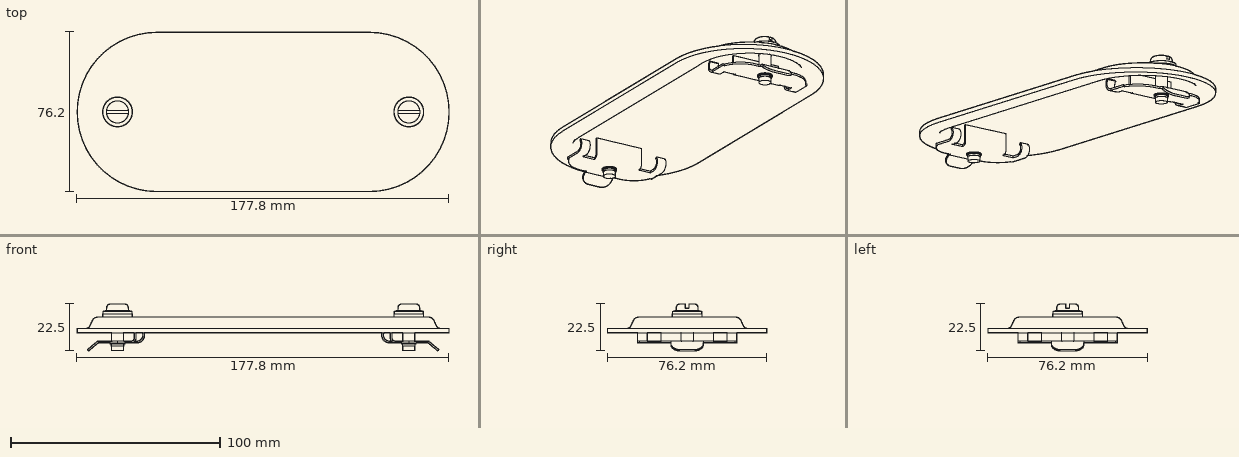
import cadquery as cq
import math


TOTAL_HEIGHT = 22.54

COVER_LENGTH = 177.8
COVER_WIDTH = 76.2
SHEET = 2.15
DOME_TOP = 7.6
DOME_FOOT_RADIUS = 28.7
DOME_END_X = 55.9
DOME_WALL_DRAFT = math.radians(25)
DOME_SHOULDER_RADIUS = 3.1
DOME_FOOT_FILLET = 1.9

SCREW_X = 69.6
SHANK_DIAMETER = 5.84
NECK_DIAMETER = 5.08
HEAD_DIAMETER = 10.57
HEAD_TOP = 13.84
HEAD_ROUNDING = 1.9
SLOT_WIDTH = 1.6
SLOT_DEPTH = 2.1
LIP_DIAMETER = 6.1
LIP_BOTTOM = -6.4
SCREW_BOTTOM = -8.5
GASKET_DIAMETER = 14.28
GASKET_THICKNESS = 1.4
WASHER_DIAMETER = 14.02
WASHER_RIM_THICKNESS = 1.2
WASHER_CROWN_HEIGHT = 0.55
WASHER_HOLE = 6.1
COVER_HOLE = 6.15

CLIP_SHEET = 0.9
CLIP_BOTTOM = -4.85
CLIP_LOWEST = HEAD_TOP - TOTAL_HEIGHT
CLIP_WIDTH = 47.6
CLIP_HOLE = 5.49
COLLAR_DIAMETER = 7.0
COLLAR_HEIGHT = 0.5
PLATE_OUTER_X = -8.2
PLATE_CORNER_RADIUS = 13.0
TONGUE_WIDTH = 15.5
TONGUE_BEND_X = -9.2
TONGUE_SLOPE = math.radians(40)
TONGUE_CORNER_RADIUS = 4.5
TAB_WIDTH = 25.2
TAB_FACE_X = 8.0
TAB_BEND_RADIUS = 1.5
LEG_WIDTH = 4.8
CURL_RADIUS = 3.75
CURL_CENTER_X = 9.25
CURL_SWEEP = math.radians(135)

CAVITY_TOP = DOME_TOP - SHEET
GASKET_TOP = DOME_TOP + GASKET_THICKNESS
WASHER_RIM_TOP = GASKET_TOP + WASHER_RIM_THICKNESS
WASHER_TOP = WASHER_RIM_TOP + WASHER_CROWN_HEIGHT
CLIP_TOP = CLIP_BOTTOM + CLIP_SHEET
COLLAR_BOTTOM = CLIP_BOTTOM - COLLAR_HEIGHT


def cylinder(diameter, bottom, top, x=0):
    return cq.Workplane("XY", origin=(x, 0, bottom)).circle(diameter / 2).extrude(top - bottom)


def dome_half_profile(inset):
    """Half section of the dome: foot fillet, sloping wall and rounded shoulder.

    `inset` moves the skin inward, parallel to the outer skin.
    """
    foot_radius = DOME_FOOT_FILLET + inset
    shoulder_radius = DOME_SHOULDER_RADIUS - inset
    foot_z = SHEET - inset
    top_z = DOME_TOP - inset
    turn = math.pi / 2 - DOME_WALL_DRAFT

    def foot_point(angle):
        return (
            DOME_FOOT_RADIUS - foot_radius * math.sin(angle),
            foot_z + foot_radius * (1 - math.cos(angle)),
        )

    wall_low_x, wall_low_z = foot_point(turn)
    wall_high_z = top_z - shoulder_radius * (1 - math.cos(turn))
    wall_run = (wall_high_z - wall_low_z) * math.tan(DOME_WALL_DRAFT)
    shoulder_x = wall_low_x - wall_run - shoulder_radius * math.sin(turn)

    def shoulder_point(angle):
        return (
            shoulder_x + shoulder_radius * math.sin(angle),
            top_z - shoulder_radius * (1 - math.cos(angle)),
        )

    return (
        cq.Workplane("YZ")
        .moveTo(0, foot_z)
        .lineTo(*foot_point(0))
        .threePointArc(foot_point(turn / 2), foot_point(turn))
        .lineTo(*shoulder_point(turn))
        .threePointArc(shoulder_point(turn / 2), shoulder_point(0))
        .lineTo(0, top_z)
        .close()
    )


def dome(inset):
    """Oblong dome: a straight stretch between two round ends."""
    half_middle = dome_half_profile(inset).extrude(DOME_END_X, both=True)
    middle = half_middle.union(half_middle.mirror("XZ"))
    round_end = dome_half_profile(inset).revolve(360, (0, 0), (0, 1))
    for side in (-1, 1):
        middle = middle.union(round_end.translate((side * DOME_END_X, 0, 0)))
    return middle


def make_cover():
    """Flanged cover, hollow below the dome, with a hole for each screw."""
    flange = cq.Workplane("XY").slot2D(COVER_LENGTH, COVER_WIDTH).extrude(SHEET)
    cover = flange.union(dome(0)).cut(dome(SHEET))
    for side in (-1, 1):
        cover = cover.cut(cylinder(COVER_HOLE, CAVITY_TOP, DOME_TOP, side * SCREW_X))
    return cover


def make_gasket():
    gasket = cylinder(GASKET_DIAMETER, DOME_TOP, GASKET_TOP)
    return gasket.cut(cylinder(WASHER_HOLE, DOME_TOP, GASKET_TOP))


def make_washer():
    """Washer whose top falls in a shallow cone from the screw head to the rim."""
    hole_radius = WASHER_HOLE / 2
    rim_radius = WASHER_DIAMETER / 2
    return (
        cq.Workplane("XZ")
        .moveTo(hole_radius, GASKET_TOP)
        .lineTo(rim_radius, GASKET_TOP)
        .lineTo(rim_radius, WASHER_RIM_TOP)
        .lineTo(HEAD_DIAMETER / 2, WASHER_TOP)
        .lineTo(hole_radius, WASHER_TOP)
        .close()
        .revolve(360, (0, 0), (0, 1))
    )


def make_screw():
    """Slotted screw whose narrow neck is caught in the clip."""
    shank_radius = SHANK_DIAMETER / 2
    neck_radius = NECK_DIAMETER / 2
    lip_radius = LIP_DIAMETER / 2
    head_radius = HEAD_DIAMETER / 2
    rounding_mid = HEAD_ROUNDING * (1 - math.sqrt(0.5))
    screw = (
        cq.Workplane("XZ")
        .moveTo(0, SCREW_BOTTOM)
        .lineTo(shank_radius, SCREW_BOTTOM)
        .lineTo(shank_radius, LIP_BOTTOM)
        .lineTo(lip_radius, LIP_BOTTOM)
        .lineTo(lip_radius, COLLAR_BOTTOM)
        .lineTo(neck_radius, COLLAR_BOTTOM)
        .lineTo(neck_radius, CLIP_TOP)
        .lineTo(shank_radius, CLIP_TOP)
        .lineTo(shank_radius, WASHER_TOP)
        .lineTo(head_radius, WASHER_TOP)
        .lineTo(head_radius, HEAD_TOP - HEAD_ROUNDING)
        .threePointArc(
            (head_radius - rounding_mid, HEAD_TOP - rounding_mid),
            (head_radius - HEAD_ROUNDING, HEAD_TOP),
        )
        .lineTo(0, HEAD_TOP)
        .close()
        .revolve(360, (0, 0), (0, 1))
    )
    slot = (
        cq.Workplane("XY", origin=(0, 0, HEAD_TOP - SLOT_DEPTH))
        .rect(HEAD_DIAMETER, SLOT_WIDTH)
        .extrude(SLOT_DEPTH)
    )
    return screw.cut(slot)


def make_clip_plate():
    """Flat plate with large outer corners and a collar under the screw hole."""
    plate_end_x = TAB_FACE_X - TAB_BEND_RADIUS
    plate = (
        cq.Workplane("XY", origin=(0, 0, CLIP_BOTTOM))
        .moveTo((PLATE_OUTER_X + plate_end_x) / 2, 0)
        .rect(plate_end_x - PLATE_OUTER_X, CLIP_WIDTH)
        .extrude(CLIP_SHEET)
        .edges("|Z and <X")
        .fillet(PLATE_CORNER_RADIUS)
    )
    return plate.union(cylinder(COLLAR_DIAMETER, COLLAR_BOTTOM, CLIP_BOTTOM))


def make_clip_tongue():
    """Tongue running out from the plate and then sloping down to a rounded tip."""
    tip_drop = CLIP_BOTTOM - CLIP_LOWEST
    tip_low_x = TONGUE_BEND_X - tip_drop / math.tan(TONGUE_SLOPE)
    tip_high_x = tip_low_x - CLIP_SHEET * math.sin(TONGUE_SLOPE)
    tip_high_z = CLIP_LOWEST + CLIP_SHEET * math.cos(TONGUE_SLOPE)
    bend_top_x = TONGUE_BEND_X - CLIP_SHEET * math.tan(TONGUE_SLOPE / 2)
    tongue = (
        cq.Workplane("XZ")
        .moveTo(0, CLIP_BOTTOM)
        .lineTo(TONGUE_BEND_X, CLIP_BOTTOM)
        .lineTo(tip_low_x, CLIP_LOWEST)
        .lineTo(tip_high_x, tip_high_z)
        .lineTo(bend_top_x, CLIP_TOP)
        .lineTo(0, CLIP_TOP)
        .close()
        .extrude(TONGUE_WIDTH / 2, both=True)
    )
    return tongue.faces("<X").edges("not |Y").fillet(TONGUE_CORNER_RADIUS)


def make_clip_tab():
    """Upright tab, bent from the plate and rising to the cavity ceiling."""
    outer_radius = TAB_BEND_RADIUS + CLIP_SHEET
    bend_x = TAB_FACE_X - TAB_BEND_RADIUS
    bend_z = CLIP_TOP + TAB_BEND_RADIUS
    inner_mid = TAB_BEND_RADIUS * math.sqrt(0.5)
    outer_mid = outer_radius * math.sqrt(0.5)
    return (
        cq.Workplane("XZ")
        .moveTo(bend_x, CLIP_BOTTOM)
        .threePointArc((bend_x + outer_mid, bend_z - outer_mid), (bend_x + outer_radius, bend_z))
        .lineTo(bend_x + outer_radius, CAVITY_TOP)
        .lineTo(TAB_FACE_X, CAVITY_TOP)
        .lineTo(TAB_FACE_X, bend_z)
        .threePointArc((bend_x + inner_mid, bend_z - inner_mid), (bend_x, CLIP_TOP))
        .close()
        .extrude(TAB_WIDTH / 2, both=True)
    )


def make_clip_leg():
    """Leg that runs on from the plate and curls up into the cover cavity."""
    inner_radius = CURL_RADIUS - CLIP_SHEET
    center_z = CLIP_BOTTOM + CURL_RADIUS

    def curl_point(radius, angle):
        return CURL_CENTER_X + radius * math.sin(angle), center_z - radius * math.cos(angle)

    return (
        cq.Workplane("XZ")
        .moveTo(0, CLIP_BOTTOM)
        .lineTo(CURL_CENTER_X, CLIP_BOTTOM)
        .threePointArc(curl_point(CURL_RADIUS, CURL_SWEEP / 2), curl_point(CURL_RADIUS, CURL_SWEEP))
        .lineTo(*curl_point(inner_radius, CURL_SWEEP))
        .threePointArc(curl_point(inner_radius, CURL_SWEEP / 2), (CURL_CENTER_X, CLIP_TOP))
        .lineTo(0, CLIP_TOP)
        .close()
        .extrude(LEG_WIDTH / 2, both=True)
    )


def make_clip():
    clip = make_clip_plate().union(make_clip_tongue()).union(make_clip_tab())
    leg_y = (CLIP_WIDTH - LEG_WIDTH) / 2
    for side in (-1, 1):
        clip = clip.union(make_clip_leg().translate((0, side * leg_y, 0)))
    return clip.cut(cylinder(CLIP_HOLE, COLLAR_BOTTOM, CLIP_TOP))


cover = make_cover()
bodies = [cover.val()]
for make_body in (make_gasket, make_washer, make_screw, make_clip):
    left_body = make_body().translate((-SCREW_X, 0, 0))
    right_body = left_body.rotate((0, 0, 0), (0, 0, 1), 180)
    bodies += [left_body.val(), right_body.val()]

result = cq.Compound.makeCompound(bodies)